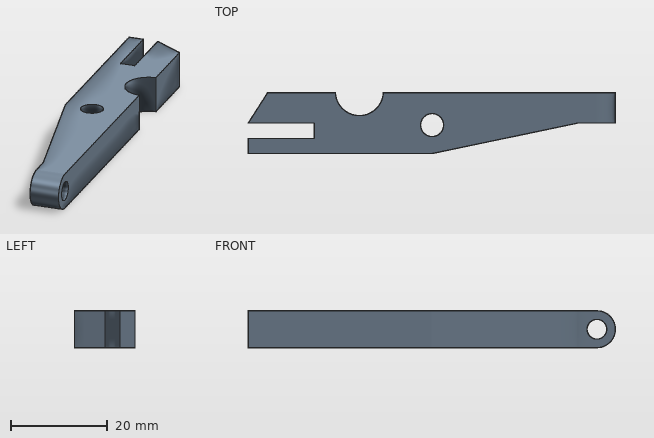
import cadquery as cq

length = 75.95
width = 12.6
thickness = 7.7
mid_width = width / 2
mid_thickness = thickness / 2

taper_start = length / 2
taper_end = 68.1
nose_run = 4.0

slot_depth = 13.7
slot_bottom = width / 4

notch_x = 23.0
notch_radius = 4.9
notch_depth = 4.7

pivot_x = 38.05
pivot_y = 5.9
pivot_diameter = 4.7

eye_radius = mid_thickness
eye_x = length - eye_radius
eye_hole_diameter = 4.0


def make_bar():
    """Tapered bar with a slanted nose and an open slot in the left end."""
    outline = [
        (0, 0),
        (taper_start, 0),
        (taper_end, mid_width),
        (length, mid_width),
        (length, width),
        (nose_run, width),
        (0, mid_width),
        (slot_depth, mid_width),
        (slot_depth, slot_bottom),
        (0, slot_bottom),
    ]
    return cq.Workplane("XY").polyline(outline).close().extrude(thickness)


def make_side_profile():
    """Side silhouette across the full width: a strip ending in a round eye with its hole."""
    return (
        cq.Workplane("XZ")
        .lineTo(eye_x, 0)
        .threePointArc((length, mid_thickness), (eye_x, thickness))
        .lineTo(0, thickness)
        .close()
        .moveTo(eye_x, mid_thickness)
        .circle(eye_hole_diameter / 2)
        .extrude(-width)
    )


def vertical_cylinder(x, y, radius):
    """Cutter through the full thickness."""
    return cq.Workplane("XY").center(x, y).circle(radius).extrude(thickness)


notch_y = width - notch_depth + notch_radius
result = (
    make_bar()
    .intersect(make_side_profile())
    .cut(vertical_cylinder(notch_x, notch_y, notch_radius))
    .cut(vertical_cylinder(pivot_x, pivot_y, pivot_diameter / 2))
)